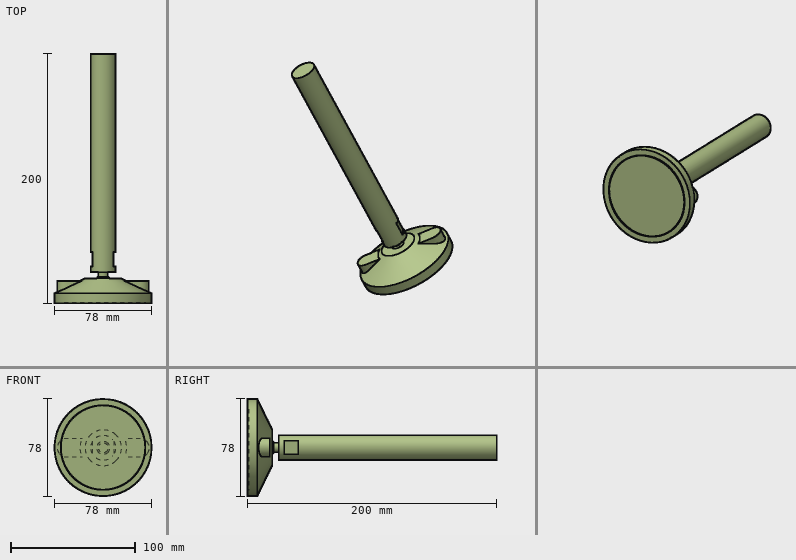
import cadquery as cq

TOTAL_LENGTH = 200.0

FOOT_DIAMETER = 78.0
RIM_HEIGHT = 8.0
FOOT_HEIGHT = 20.0
CONE_TOP_DIAMETER = 29.0

PAD_DIAMETER = 67.5
PAD_SEAT_DIAMETER = 68.0
GROOVE_DEPTH = 1.0

LUG_WIDTH = 15.0
LUG_SPAN = 73.5
LUG_TOP = 18.0

NECK_DIAMETER = 7.8
COLLAR_DIAMETER = 10.5
COLLAR_HEIGHT = (COLLAR_DIAMETER - NECK_DIAMETER) / 2
NECK_TOP = 25.0

ROD_DIAMETER = 20.0
FLATS_OFFSET = 4.5
FLATS_START = NECK_TOP + FLATS_OFFSET
FLATS_LENGTH = 11.5
ACROSS_FLATS = 17.0


def cross_section(y):
    """Workplane square to the axis at height y; its normal points along +Y."""
    return cq.Workplane(cq.Plane(origin=(0, y, 0), xDir=(1, 0, 0), normal=(0, 1, 0)))


def revolved_body():
    """Foot, collar, neck and rod turned in one profile about the Y axis."""
    profile = [
        (0, 0),
        (FOOT_DIAMETER / 2, 0),
        (FOOT_DIAMETER / 2, RIM_HEIGHT),
        (CONE_TOP_DIAMETER / 2, FOOT_HEIGHT),
        (COLLAR_DIAMETER / 2, FOOT_HEIGHT),
        (NECK_DIAMETER / 2, FOOT_HEIGHT + COLLAR_HEIGHT),
        (NECK_DIAMETER / 2, NECK_TOP),
        (ROD_DIAMETER / 2, NECK_TOP),
        (ROD_DIAMETER / 2, TOTAL_LENGTH),
        (0, TOTAL_LENGTH),
    ]
    return cq.Workplane("XY").polyline(profile).close().revolve(360, (0, 0, 0), (0, 1, 0))


def lugs():
    """Round-ended bar across the foot; its ends stand out of the cone as the lugs."""
    return cross_section(RIM_HEIGHT).slot2D(LUG_SPAN, LUG_WIDTH).extrude(LUG_TOP - RIM_HEIGHT)


def pad_groove():
    """Thin ring cut into the sole around the pad."""
    return cross_section(0).circle(PAD_SEAT_DIAMETER / 2).circle(PAD_DIAMETER / 2).extrude(GROOVE_DEPTH)


def wrench_flats():
    """Material removed from the +X and -X sides of the rod."""
    envelope = cross_section(FLATS_START).rect(2 * ROD_DIAMETER, 2 * ROD_DIAMETER).extrude(FLATS_LENGTH)
    core = cross_section(FLATS_START).rect(ACROSS_FLATS, 2 * ROD_DIAMETER).extrude(FLATS_LENGTH)
    return envelope.cut(core)


result = revolved_body().union(lugs()).cut(pad_groove()).cut(wrench_flats())